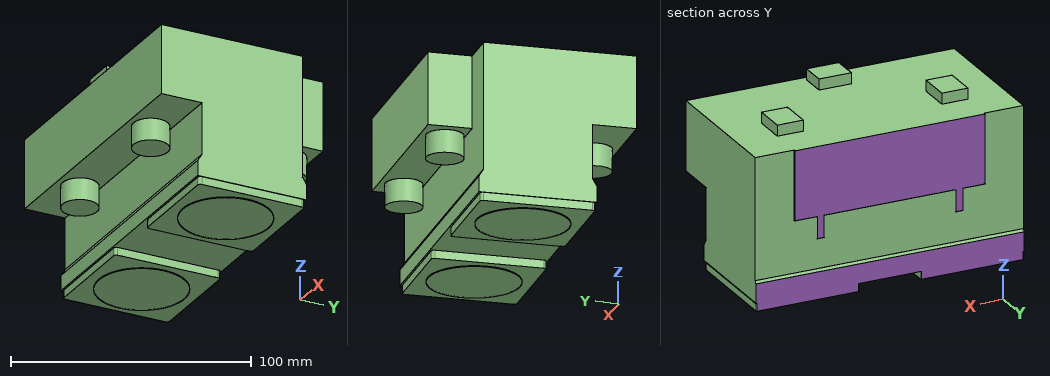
import cadquery as cq


length = 124.0
width = 85.0
height = 75.0

pad_height = 5.0
head_top = height - pad_height
head_height = 32.0
head_bottom = head_top - head_height
rear_length = 88.0

stem_width = 47.0
base_width = 51.0
base_height = 7.0
flare_height = 3.2

disc_diameter = 40.0
disc_height = 0.4
foot_height = 3.6
foot_length = 47.5
foot_width = 49.5
foot_corner_radius = 1.25
foot_spacing = 76.0
foot_top = disc_height + foot_height

pin_diameter = 16.0
pin_length = 10.0
pin_spacing = 64.0

pad_long = 15.0
pad_short = 12.0
side_pad_x = (rear_length - pad_short) / 2
front_pad_y = -(pin_spacing + pin_diameter - pad_short) / 2


def box(size_x, size_y, size_z, center_x, center_y, bottom):
    """Box centred on a point in plan and standing on the given height."""
    block = cq.Workplane("XY").box(size_x, size_y, size_z, centered=(True, True, False))
    return block.translate((center_x, center_y, bottom))


def make_head():
    front_depth = (width + stem_width) / 2
    front = box(length, front_depth, head_height, 0, (front_depth - width) / 2, head_bottom)
    rear = box(rear_length, width, head_height, 0, 0, head_bottom)
    return front.union(rear)


def make_stem():
    base_top = foot_top + base_height
    flare_top = base_top + flare_height
    half_profile = [
        (0, foot_top),
        (base_width / 2, foot_top),
        (base_width / 2, base_top),
        (stem_width / 2, flare_top),
        (stem_width / 2, head_top),
        (0, head_top),
    ]
    half = cq.Workplane("YZ").polyline(half_profile).close().extrude(length / 2, both=True)
    return half.union(half.mirror("XZ"))


def make_foot(center_x):
    plate = box(foot_length, foot_width, foot_height, center_x, 0, disc_height)
    plate = plate.edges("|Z").fillet(foot_corner_radius)
    disc = cq.Workplane("XY").center(center_x, 0).circle(disc_diameter / 2).extrude(foot_top)
    return plate.union(disc)


def make_pins():
    return (
        cq.Workplane("XY", origin=(0, 0, head_bottom - pin_length))
        .rect(pin_spacing, pin_spacing, forConstruction=True)
        .vertices()
        .circle(pin_diameter / 2)
        .extrude(pin_length)
    )


def make_pads():
    pads = box(pad_long, pad_short, pad_height, 0, front_pad_y, head_top)
    for x in (-side_pad_x, side_pad_x):
        pads = pads.union(box(pad_short, pad_long, pad_height, x, 0, head_top))
    return pads


result = make_stem().union(make_head()).union(make_pins()).union(make_pads())
for foot_x in (-foot_spacing / 2, foot_spacing / 2):
    result = result.union(make_foot(foot_x))
result = result.clean()